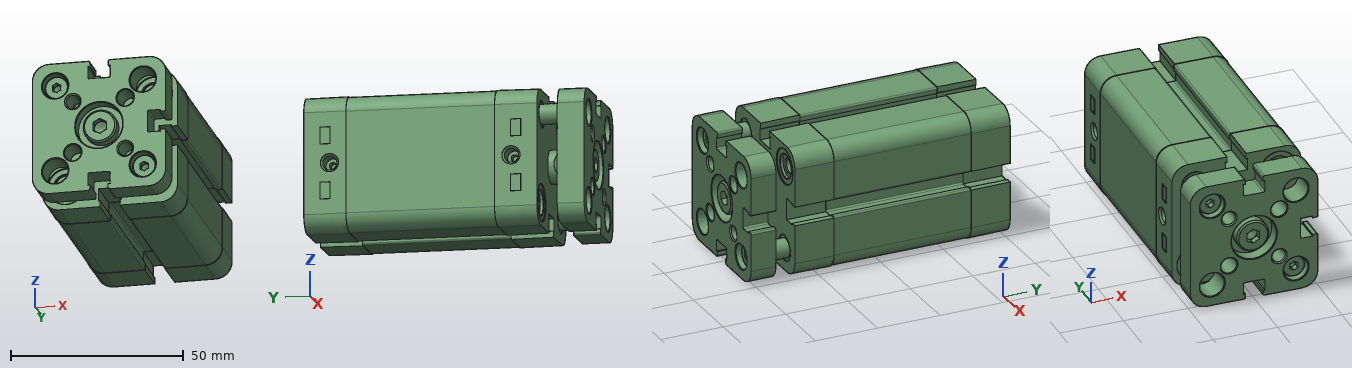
import cadquery as cq
import math


total_length = 83.0
plate_thickness = 8.0
plate_gap = 6.0
cap_length = 12.5
body_front = plate_thickness + plate_gap
tube_front = body_front + cap_length
tube_rear = total_length - cap_length

corner_radius = 5.0
plate_side = 39.7
tube_side = 40.0
cap_end_side = 40.1
cap_joint_side = 40.3
cap_draft = math.degrees(math.atan((cap_joint_side - cap_end_side) / 2 / cap_length))

slot_floor = 14.45
slot_ledge = 18.2
slot_half_width = 3.3
lip_half_width = 2.7
cap_lip_half_width = 3.0
slot_round = 0.5
cap_slot_floor = 14.5
cap_slot_half_width = 3.4
slot_angles = (0, 90, 180)

corner_offset = 13.0
screw_corners = ((-1, 1), (1, -1))
open_corners = ((1, 1), (-1, -1))

guide_rod_diameter = 6.0
guide_recess_diameter = 8.0
guide_recess_depth = 0.3
piston_rod_diameter = 10.0
flat_half_width = 4.0
flat_length = 3.15
rod_chamfer_length = 1.1
rod_chamfer_height = 0.6

corner_bore = 7.6
corner_rim = 8.1
thread_bore = 4.15
thread_rim = 5.0
clear_bore = 5.0
clear_rim = 5.5
small_hole_offset = 7.8
center_bore = 14.0
center_rim = 14.45
center_bore_depth = 4.0
screw_bore_depth = 5.0

center_head_diameter = 10.0
center_head_recess = 0.75
center_head_chamfer = 0.5
center_hex = 4.0
rod_head_diameter = 7.0
rod_head_recess = 1.75
rod_head_chamfer = 0.25
rod_hex = 2.5
hex_depth = 2.0
hex_tip_ratio = 0.3

mount_rim = 11.1
mount_recess_diameter = 10.9
mount_recess_depth = 0.3
mount_bore = 7.5
mount_bore_rim = 7.8
mount_bore_depth = 1.0
mount_through_hole = 4.3
mount_hole_rim = 5.0

port_from_end = 7.6
port_rim = 5.5
port_bore = 4.15
port_depth = 5.0
port_passage = 2.0
passage_depth = 2.5
label_from_end = 6.3
label_offset = 8.1
label_width = 3.0
label_height = 5.0
label_depth = 0.2


def plane_at(y, direction=1):
    """Sketch plane across the axis at y, with its normal along +Y or -Y."""
    return cq.Workplane(cq.Plane((0, y, 0), xDir=(1, 0, 0), normal=(0, direction, 0)))


def cylinder(x, z, diameter, y_start, y_end):
    direction = cq.Vector(0, 1, 0)
    start = cq.Vector(x, y_start, z)
    return cq.Workplane(cq.Solid.makeCylinder(diameter / 2, y_end - y_start, start, direction))


def cone(x, z, start_diameter, end_diameter, y_start, length):
    start = cq.Vector(x, y_start, z)
    direction = cq.Vector(0, 1, 0)
    return cq.Workplane(cq.Solid.makeCone(start_diameter / 2, end_diameter / 2, length, start, direction))


def rimmed_bore(x, z, bore, rim, y_start, depth):
    """Round hole going +Y with a 45 degree chamfer at its mouth."""
    mouth = cone(x, z, rim, bore, y_start, (rim - bore) / 2)
    return cylinder(x, z, bore, y_start, y_start + depth).union(mouth)


def rounded_block(side, y_start, length):
    block = plane_at(y_start).rect(side, side).extrude(length)
    return block.edges("|Y").fillet(corner_radius)


def end_cap(y_joint, direction):
    """End cap that narrows slightly from the tube joint to its free end."""
    joint_radius = corner_radius + (cap_joint_side - cap_end_side) / 2
    outline = cq.Sketch().rect(cap_joint_side, cap_joint_side).vertices().fillet(joint_radius)
    return plane_at(y_joint, direction).placeSketch(outline).extrude(cap_length, taper=cap_draft)


def slot_mouth(y_start, length, side, lip_half):
    """Opening of a T-slot on the +Z side, from its ledges out through the face."""
    height = side / 2 - slot_ledge
    mouth = plane_at(y_start, -1).center(0, slot_ledge + height / 2)
    return mouth.rect(2 * lip_half, height).extrude(-length)


def slot_pocket(y_start, length, floor, half_width):
    """Wide inner part of a T-slot on the +Z side, between its floor and its ledges."""
    pocket = plane_at(y_start, -1).center(0, (floor + slot_ledge) / 2)
    return pocket.rect(2 * half_width, slot_ledge - floor).extrude(-length)


def mouth_rounding(y_start, length, side, lip_half, hand):
    """Material to remove at one outer lip edge so that it becomes a quarter round."""
    top = side / 2
    edge = plane_at(y_start, -1).moveTo(hand * lip_half, top)
    edge = edge.lineTo(hand * lip_half, top - slot_round)
    edge = edge.radiusArc((hand * (lip_half + slot_round), top), hand * slot_round)
    return edge.close().extrude(-length)


def rounded_slot(y_start, length, side):
    """T-slot with a rounded floor and rounded outer lip edges."""
    pocket = slot_pocket(y_start, length, slot_floor, slot_half_width)
    pocket = pocket.faces("<Z").edges("|Y").fillet(slot_round)
    slot = pocket.union(slot_mouth(y_start, length, side, lip_half_width))
    for hand in (-1, 1):
        slot = slot.union(mouth_rounding(y_start, length, side, lip_half_width, hand))
    return slot


def cap_slot(y_start):
    """T-slot with sharp edges that runs through an end cap."""
    pocket = slot_pocket(y_start, cap_length, cap_slot_floor, cap_slot_half_width)
    return pocket.union(slot_mouth(y_start, cap_length, cap_joint_side, cap_lip_half_width))


def cut_slots(block, cutter):
    for angle in slot_angles:
        block = block.cut(cutter.rotate((0, 0, 0), (0, 1, 0), angle))
    return block


def socket_head(x, z, diameter, chamfer, y_face, y_seat, hex_flats):
    """Chamfered screw head with a hexagon socket that ends in a cone."""
    corners = hex_flats / math.cos(math.pi / 6)
    head = cylinder(x, z, diameter, y_face, y_seat).faces("<Y").chamfer(chamfer)
    socket = plane_at(y_face).center(x, -z).transformed(rotate=(0, 0, 30))
    socket = socket.polygon(6, corners).extrude(hex_depth)
    tip = cone(x, z, hex_flats, 0, y_face + hex_depth, hex_flats * hex_tip_ratio)
    return head.cut(socket).cut(tip)


def front_plate():
    plate = rounded_block(plate_side, 0, plate_thickness)
    plate = cut_slots(plate, rounded_slot(0, plate_thickness, plate_side))
    plate = plate.cut(rimmed_bore(0, 0, center_bore, center_rim, 0, center_bore_depth))
    for sx, sz in screw_corners:
        x = sx * corner_offset
        z = sz * corner_offset
        plate = plate.cut(rimmed_bore(x, z, corner_bore, corner_rim, 0, screw_bore_depth))
        x_small = sx * small_hole_offset
        z_small = sz * small_hole_offset
        plate = plate.cut(rimmed_bore(x_small, z_small, thread_bore, thread_rim, 0, plate_thickness))
        head = socket_head(
            x, z, rod_head_diameter, rod_head_chamfer, rod_head_recess, plate_thickness, rod_hex
        )
        plate = plate.union(head)
    for sx, sz in open_corners:
        x = sx * corner_offset
        z = sz * corner_offset
        plate = plate.cut(rimmed_bore(x, z, corner_bore, corner_rim, 0, plate_thickness))
        x_small = sx * small_hole_offset
        z_small = sz * small_hole_offset
        plate = plate.cut(rimmed_bore(x_small, z_small, clear_bore, clear_rim, 0, plate_thickness))
    head = socket_head(
        0, 0, center_head_diameter, center_head_chamfer, center_head_recess, plate_thickness, center_hex
    )
    return plate.union(head)


def piston_rod():
    """Piston rod in the gap, with two wrench flats whose run-out slopes at 45 degrees."""
    half = piston_rod_diameter / 2
    chamfer_start = plate_thickness + rod_chamfer_length
    end_diameter = piston_rod_diameter - 2 * rod_chamfer_height
    rod = cylinder(0, 0, piston_rod_diameter, chamfer_start, body_front)
    rod = rod.union(cone(0, 0, end_diameter, piston_rod_diameter, plate_thickness, rod_chamfer_length))
    flat_end = plate_thickness + flat_length
    for side in (-1, 1):
        flat = (
            cq.Workplane("XY")
            .moveTo(side * flat_half_width, plate_thickness)
            .lineTo(side * flat_half_width, flat_end)
            .lineTo(side * half, flat_end + half - flat_half_width)
            .lineTo(side * half, plate_thickness)
            .close()
            .extrude(half, both=True)
        )
        rod = rod.cut(flat)
    return rod


def cut_side_openings(body, y_end, direction):
    """Air port and two label recesses on the -X side, placed from one end of the body."""
    x_face = -cap_joint_side / 2
    y_port = y_end + direction * port_from_end
    port = cq.Workplane("YZ", origin=(x_face, y_port, 0))
    bore = port.circle(port_bore / 2).extrude(port_depth)
    passage = port.circle(port_passage / 2).extrude(port_depth + passage_depth)
    chamfer = (port_rim - port_bore) / 2
    mouth = cq.Workplane(
        cq.Solid.makeCone(
            port_rim / 2, port_bore / 2, chamfer, cq.Vector(x_face, y_port, 0), cq.Vector(1, 0, 0)
        )
    )
    body = body.cut(bore).cut(passage).cut(mouth)
    face_depth = (cap_joint_side - cap_end_side) / 2
    labels = (
        cq.Workplane("YZ", origin=(x_face, y_end + direction * label_from_end, 0))
        .pushPoints([(0, label_offset), (0, -label_offset)])
        .rect(label_width, label_height)
        .extrude(face_depth + label_depth)
    )
    return body.cut(labels)


def cylinder_body():
    tube_length = tube_rear - tube_front
    tube = rounded_block(tube_side, tube_front, tube_length)
    body = cut_slots(tube, rounded_slot(tube_front, tube_length, tube_side))
    front_cap = cut_slots(end_cap(tube_front, -1), cap_slot(body_front))
    rear_cap = cut_slots(end_cap(tube_rear, 1), cap_slot(tube_rear))
    body = body.union(front_cap).union(rear_cap)
    for sx, sz in open_corners:
        x = sx * corner_offset
        z = sz * corner_offset
        recess_floor = body_front + mount_recess_depth
        seat = recess_floor + mount_bore_depth
        body = body.cut(
            rimmed_bore(x, z, mount_recess_diameter, mount_rim, body_front, mount_recess_depth)
        )
        body = body.cut(rimmed_bore(x, z, mount_bore, mount_bore_rim, recess_floor, mount_bore_depth))
        body = body.cut(
            rimmed_bore(x, z, mount_through_hole, mount_hole_rim, seat, total_length - seat)
        )
    for sx, sz in screw_corners:
        x = sx * corner_offset
        z = sz * corner_offset
        recess_end = body_front + guide_recess_depth
        body = body.cut(cylinder(x, z, guide_recess_diameter, body_front, recess_end))
    body = cut_side_openings(body, body_front, 1)
    return cut_side_openings(body, total_length, -1)


result = cylinder_body().union(piston_rod()).union(front_plate())
for side_x, side_z in screw_corners:
    guide_rod = cylinder(
        side_x * corner_offset,
        side_z * corner_offset,
        guide_rod_diameter,
        plate_thickness,
        body_front + guide_recess_depth,
    )
    result = result.union(guide_rod)